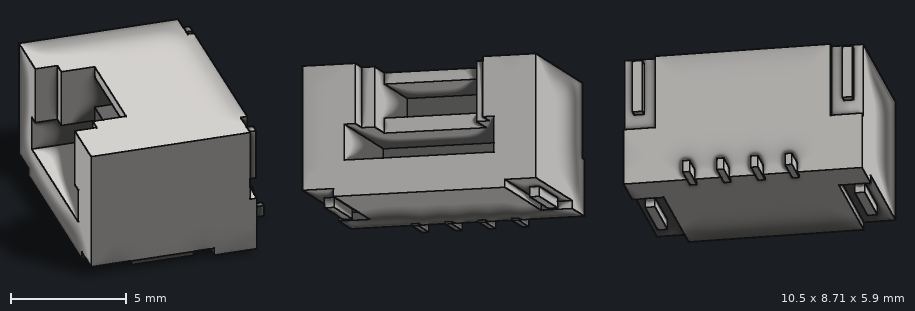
import cadquery as cq

WIDTH = 10.5
DEPTH = 7.5
HEIGHT = 5.81

CAVITY_DEPTH = 6.0
CAVITY_WIDTH = 6.72
CAVITY_FLOOR = 1.58
CAVITY_CEILING = 3.15
MOUTH_WIDTH = 5.73
MOUTH_DEPTH = 1.0
NOTCH_WIDTH = 4.58
NOTCH_DEPTH = 2.5
TONGUE_TOP = 3.81
LIP_THICKNESS = 0.5

RECESS_WIDTH = 1.4
BOTTOM_RECESS_LENGTH = 5.58
BOTTOM_RECESS_DEPTH = 0.35
REAR_RECESS_HEIGHT = 3.3
REAR_RECESS_DEPTH = 0.3
TAB_INSET = 0.42
TAB_WIDTH = 0.43
TAB_PROTRUSION = 0.09
BOTTOM_TAB_START = 1.96
BOTTOM_TAB_LENGTH = 2.8
REAR_TAB_DROP = 0.2
REAR_TAB_HEIGHT = 2.34

PIN_COUNT = 4
PIN_PITCH = 1.5
PIN_WIDTH = 0.3
PIN_PROTRUSION = 1.21
PIN_EMBEDMENT = 0.42
PIN_TOP = 0.42


def block(x_range, y_range, z_range):
    """Axis-aligned box spanning three (low, high) ranges."""
    lows, highs = zip(x_range, y_range, z_range)
    sizes = [high - low for low, high in zip(lows, highs)]
    return cq.Workplane("XY").box(*sizes, centered=False).translate(lows)


def centered_block(width, y_range, z_range):
    """Box of the given width centred on X = 0."""
    return block((-width / 2, width / 2), y_range, z_range)


def cut_plug_cavity(body):
    lower_cavity = centered_block(CAVITY_WIDTH, (0, CAVITY_DEPTH), (CAVITY_FLOOR, CAVITY_CEILING))
    mouth = centered_block(MOUTH_WIDTH, (0, MOUTH_DEPTH), (CAVITY_CEILING, HEIGHT))
    notch = centered_block(NOTCH_WIDTH, (0, NOTCH_DEPTH), (CAVITY_CEILING, HEIGHT))
    upper_pocket = centered_block(
        NOTCH_WIDTH, (NOTCH_DEPTH, CAVITY_DEPTH), (TONGUE_TOP, HEIGHT - LIP_THICKNESS)
    )
    return body.cut(lower_cavity).cut(mouth).cut(notch).cut(upper_pocket)


def add_solder_tabs(body):
    recess_x = (-WIDTH / 2, -WIDTH / 2 + RECESS_WIDTH)
    tab_left = -WIDTH / 2 + TAB_INSET
    tab_x = (tab_left, tab_left + TAB_WIDTH)

    bottom_recess = block(recess_x, (0, BOTTOM_RECESS_LENGTH), (0, BOTTOM_RECESS_DEPTH))
    rear_recess = block(
        recess_x, (DEPTH - REAR_RECESS_DEPTH, DEPTH), (HEIGHT - REAR_RECESS_HEIGHT, HEIGHT)
    )
    bottom_tab = block(
        tab_x,
        (BOTTOM_TAB_START, BOTTOM_TAB_START + BOTTOM_TAB_LENGTH),
        (-TAB_PROTRUSION, BOTTOM_RECESS_DEPTH),
    )
    rear_tab_top = HEIGHT - REAR_TAB_DROP
    rear_tab = block(
        tab_x,
        (DEPTH - REAR_RECESS_DEPTH, DEPTH + TAB_PROTRUSION),
        (rear_tab_top - REAR_TAB_HEIGHT, rear_tab_top),
    )

    for recess in (bottom_recess, rear_recess):
        body = body.cut(recess).cut(recess.mirror("YZ"))
    for tab in (bottom_tab, rear_tab):
        body = body.union(tab).union(tab.mirror("YZ"))
    return body


def add_pins(body):
    pin = centered_block(
        PIN_WIDTH, (DEPTH - PIN_EMBEDMENT, DEPTH + PIN_PROTRUSION), (-TAB_PROTRUSION, PIN_TOP)
    )
    for index in range(PIN_COUNT):
        x = (index - (PIN_COUNT - 1) / 2) * PIN_PITCH
        body = body.union(pin.translate((x, 0, 0)))
    return body


housing = centered_block(WIDTH, (0, DEPTH), (0, HEIGHT))
result = add_pins(add_solder_tabs(cut_plug_cavity(housing)))